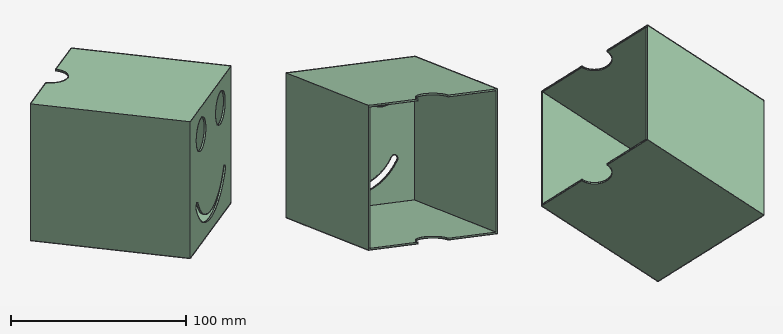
import cadquery as cq
import math

length = 95.0
side = 84.9
wall = 1.0

hole_diameter = 20.0
eye_offset = 20.0
eye_height = 25.6

smile_radius = 32.5
smile_width = 4.6
smile_centre_z = 0.2
smile_half_angle = 60.5


def thumb_notch():
    """Cylinder along Z that notches the top and bottom walls at the open end."""
    return (
        cq.Workplane("XY")
        .center(-length / 2, 0)
        .circle(hole_diameter / 2)
        .extrude(side, both=True)
    )


def eyes():
    """Two round cutters along X."""
    return (
        cq.Workplane("YZ")
        .pushPoints([(-eye_offset, eye_height), (eye_offset, eye_height)])
        .circle(hole_diameter / 2)
        .extrude(length)
    )


def smile():
    """Arc-shaped slot cutter along X, with its ends turned up."""
    angle = math.radians(smile_half_angle)

    def arc_end(radius):
        return radius * math.sin(angle), smile_centre_z - radius * math.cos(angle)

    outer_radius = smile_radius + smile_width / 2
    inner_radius = smile_radius - smile_width / 2
    outer_y, outer_z = arc_end(outer_radius)
    inner_y, inner_z = arc_end(inner_radius)
    end_y, end_z = arc_end(smile_radius)
    tip_y = end_y + smile_width / 2 * math.cos(angle)
    tip_z = end_z + smile_width / 2 * math.sin(angle)
    return (
        cq.Workplane("YZ")
        .moveTo(-outer_y, outer_z)
        .threePointArc((0, smile_centre_z - outer_radius), (outer_y, outer_z))
        .threePointArc((tip_y, tip_z), (inner_y, inner_z))
        .threePointArc((0, smile_centre_z - inner_radius), (-inner_y, inner_z))
        .threePointArc((-tip_y, tip_z), (-outer_y, outer_z))
        .close()
        .extrude(length)
    )


box = cq.Workplane("XY").box(length, side, side).faces("<X").shell(-wall)
result = box.cut(thumb_notch()).cut(eyes()).cut(smile())